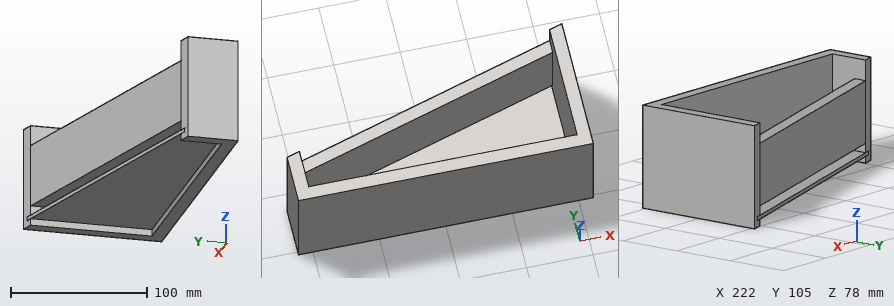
import cadquery as cq

length = 222.0
height = 78.0
short_end_depth = 38.0
long_end_depth = 105.0
wall = 10.0

groove_depth = wall / 2
floor_bottom = 5.0
floor_thickness = 2.9

back_bottom = 15.0
back_top = 62.4
back_width_y = 10.5

slope = (long_end_depth - short_end_depth) / length


def back_y(x):
    """Y of the slanted back plane at a given X."""
    return short_end_depth + slope * x


def bin_prism(inset, bottom, prism_height):
    """Upright prism reaching the back plane, with its other three sides moved in by inset."""
    left = inset
    right = length - inset
    outline = [
        (left, inset),
        (right, inset),
        (right, back_y(right)),
        (left, back_y(left)),
    ]
    return cq.Workplane("XY").workplane(offset=bottom).polyline(outline).close().extrude(prism_height)


def make_floor():
    """Flat panel whose edges fill the groove in the walls; its back edge is flush."""
    return bin_prism(wall - groove_depth, floor_bottom, floor_thickness)


def make_frame():
    """Front wall and two end walls in one piece, grooved for the floor."""
    outside = bin_prism(0, 0, height)
    inside = bin_prism(wall, 0, height)
    return outside.cut(inside).cut(make_floor())


def make_back_panel():
    """Slanted panel with a gap above the floor and a lowered top edge."""
    left = wall
    right = length - wall
    outline = [
        (left, back_y(left) - back_width_y),
        (right, back_y(right) - back_width_y),
        (right, back_y(right)),
        (left, back_y(left)),
    ]
    base = cq.Workplane("XY").workplane(offset=back_bottom)
    return base.polyline(outline).close().extrude(back_top - back_bottom)


frame = make_frame()
floor = make_floor()
back_panel = make_back_panel()

result = cq.Compound.makeCompound([frame.val(), floor.val(), back_panel.val()])